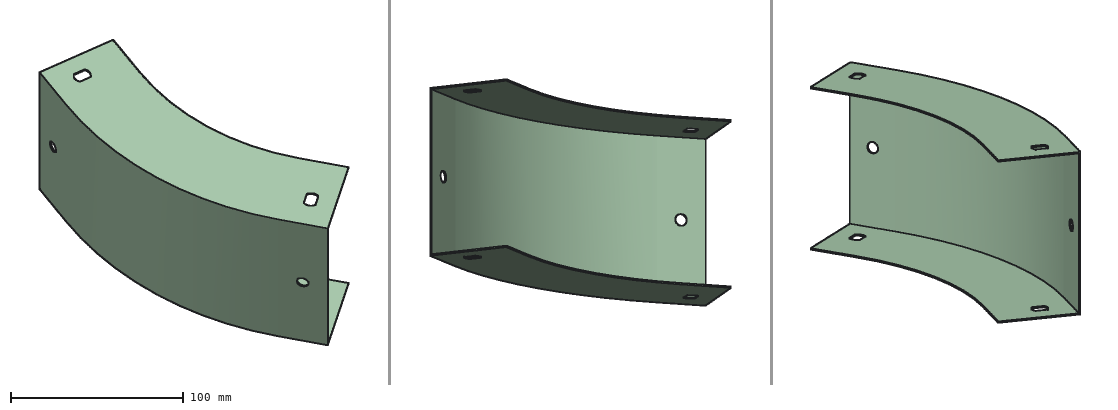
import cadquery as cq
import math

total_length = 192.3
height = 100.0
flange_width = 50.0
outer_radius = 200.0
thickness = 1.0
bend_angle = 45.0
hole_diameter = 7.0
slot_width = 7.0
slot_length = 10.0
end_inset = 15.0
slot_from_web = 20.0

bend = math.radians(bend_angle)
leg = (total_length - outer_radius * math.sin(bend)) / (1 + math.cos(bend))


def path_points(offset):
    """Start, arc start, arc middle, arc end and end of the bend, offset inwards from the outer face."""
    radius = outer_radius - offset

    def on_arc(angle):
        return (leg + radius * math.sin(angle), outer_radius - radius * math.cos(angle))

    arc_end = on_arc(bend)
    end = (arc_end[0] + leg * math.cos(bend), arc_end[1] + leg * math.sin(bend))
    return (0, offset), (leg, offset), on_arc(bend / 2), arc_end, end


def curved_strip(near, far, strip_height):
    """Solid centred on Z = 0, lying between two offsets from the outer face."""
    near_start, near_arc_start, near_arc_middle, near_arc_end, near_end = path_points(near)
    far_start, far_arc_start, far_arc_middle, far_arc_end, far_end = path_points(far)
    return (
        cq.Workplane("XY")
        .moveTo(*near_start)
        .lineTo(*near_arc_start)
        .threePointArc(near_arc_middle, near_arc_end)
        .lineTo(*near_end)
        .lineTo(*far_end)
        .lineTo(*far_arc_end)
        .threePointArc(far_arc_middle, far_arc_start)
        .lineTo(*far_start)
        .close()
        .extrude(strip_height / 2, both=True)
    )


def leg_cutters():
    """Web hole and flange slots of the first leg, along X with its outer face on Y = 0."""
    hole = (
        cq.Workplane("XZ")
        .center(end_inset, 0)
        .circle(hole_diameter / 2)
        .extrude(2 * thickness, both=True)
    )
    slots = (
        cq.Workplane("XY")
        .center(end_inset, slot_from_web)
        .circle(slot_length / 2)
        .extrude(height, both=True)
    )
    slot_sides = (
        cq.Workplane("XY")
        .center(end_inset, slot_from_web)
        .rect(slot_width, slot_length)
        .extrude(height, both=True)
    )
    slots = slots.intersect(slot_sides)
    return hole.union(slots)


channel = curved_strip(0, flange_width, height)
cavity = curved_strip(thickness, flange_width, height - 2 * thickness)
channel = channel.cut(cavity)

near_cutters = leg_cutters()
far_cutters = (
    near_cutters
    .translate((-leg, -outer_radius, 0))
    .mirror("YZ")
    .rotate((0, 0, 0), (0, 0, 1), bend_angle)
    .translate((leg, outer_radius, 0))
)
result = channel.cut(near_cutters).cut(far_cutters)